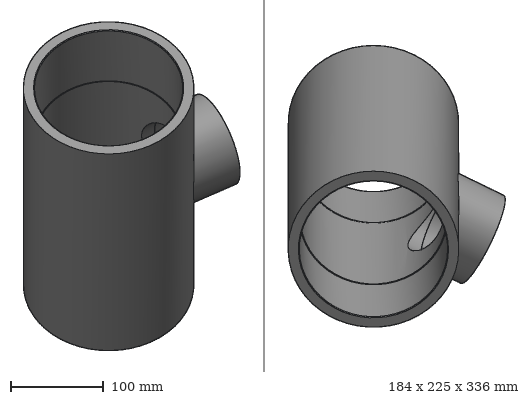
import cadquery as cq

length = 336.0
main_outer = 184.0
main_bore = 158.0
main_socket = 160.0
main_socket_depth = 86.0
mouth_chamfer = 1.0

branch_reach = 133.0
branch_outer = 106.0
branch_bore = 88.0
branch_socket = 90.0
branch_socket_depth = 51.0


def main_cylinder(diameter, bottom, height):
    """Cylinder on the main axis, rising from the given height."""
    return cq.Workplane("XY").workplane(offset=bottom).circle(diameter / 2).extrude(height)


def branch_cylinder(diameter, start, end):
    """Cylinder on the branch axis, between two distances from the main axis."""
    return cq.Workplane("XZ").workplane(offset=-start).circle(diameter / 2).extrude(start - end)


result = main_cylinder(main_outer, -length / 2, length)
result = result.union(branch_cylinder(branch_outer, 0, branch_reach))

result = result.cut(main_cylinder(main_bore, -length / 2, length))
result = result.cut(branch_cylinder(branch_bore, 0, branch_reach))

for bottom in (-length / 2, length / 2 - main_socket_depth):
    result = result.cut(main_cylinder(main_socket, bottom, main_socket_depth))
result = result.cut(branch_cylinder(branch_socket, branch_reach - branch_socket_depth, branch_reach))

for mouth in ("<Z", ">Z"):
    inner_edge = result.faces(mouth).edges(cq.selectors.RadiusNthSelector(0))
    result = inner_edge.chamfer(mouth_chamfer)